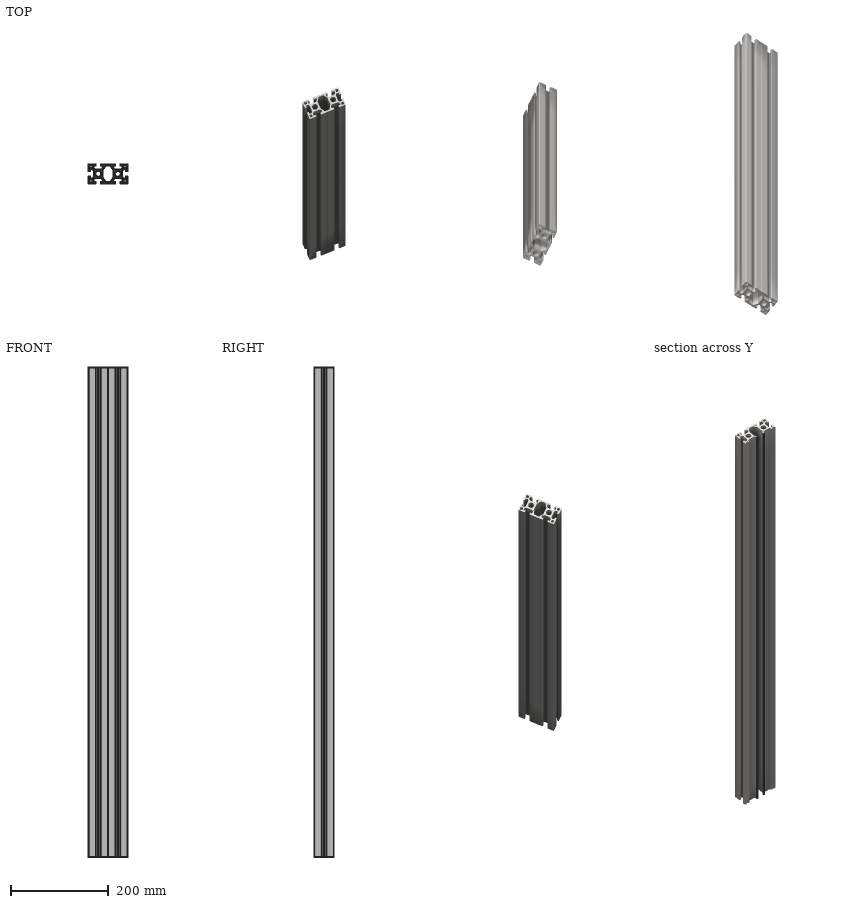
import cadquery as cq
import math

LENGTH = 1000.0
MODULE = 40.0
WIDTH = 2 * MODULE
DEPTH = MODULE
CORNER_RADIUS = 1.4

SLOT_OPENING = 10.0
LIP_RADIUS = 1.2
LIP_THICKNESS = 4.0
SLOT_INNER_WIDTH = 19.0
SLOT_SHOULDER_DEPTH = 8.5
SLOT_DEPTH = 11.0
SLOT_FLOOR_WIDTH = 13.0

GROOVE_WIDTH = 1.6
FLOOR_GROOVE_DEPTH = 0.3
FACE_GROOVE_DEPTH = 0.8

BORE_DIAMETER = 11.7

CORNER_HOLLOW_SIZE = 5.3
CORNER_HOLLOW_INSET = 5.2

CAVITY_WIDTH = 21.6
CAVITY_DEPTH = 33.0
CAVITY_END_WIDTH = 10.0
CAVITY_SIDE_LENGTH = 15.6

MODULE_CENTERS = (-MODULE / 2, MODULE / 2)


def prism(points):
    """Full-length prism over a closed polygon."""
    return cq.Workplane("XY").polyline(points).close().extrude(LENGTH)


def mirrored(half):
    """Complete a half outline (X >= 0) with its mirror image about the Y axis."""
    return half + [(-x, y) for x, y in reversed(half) if x > 0]


def on_face(cutter, x, y, angle):
    """Turn a cutter made for the +Y face about Z and move it to another face."""
    return cutter.rotate((0, 0, 0), (0, 0, 1), angle).translate((x, y, 0))


def body():
    block = cq.Workplane("XY").rect(WIDTH, DEPTH).extrude(LENGTH)
    return block.edges("|Z").fillet(CORNER_RADIUS)


def slot_mouth():
    """Slot entrance flaring out to the face (Y = 0) over the rounded lips."""
    half = SLOT_OPENING / 2
    arc_drop = LIP_RADIUS * (1 - math.sqrt(0.5))
    return (
        cq.Workplane("XY")
        .moveTo(-half - LIP_RADIUS, 0)
        .threePointArc((-half - arc_drop, -arc_drop), (-half, -LIP_RADIUS))
        .lineTo(-half, -LIP_THICKNESS)
        .lineTo(half, -LIP_THICKNESS)
        .lineTo(half, -LIP_RADIUS)
        .threePointArc((half + arc_drop, -arc_drop), (half + LIP_RADIUS, 0))
        .close()
        .extrude(LENGTH)
    )


def slot_chamber():
    """Wide part of the slot behind the lips, tapering to a grooved floor."""
    return prism(mirrored([
        (SLOT_INNER_WIDTH / 2, -LIP_THICKNESS),
        (SLOT_INNER_WIDTH / 2, -SLOT_SHOULDER_DEPTH),
        (SLOT_FLOOR_WIDTH / 2, -SLOT_DEPTH),
        (GROOVE_WIDTH / 2, -SLOT_DEPTH),
        (0, -SLOT_DEPTH - FLOOR_GROOVE_DEPTH),
    ]))


def cut_slots(part):
    slot = slot_mouth().union(slot_chamber())
    for x in MODULE_CENTERS:
        part = part.cut(on_face(slot, x, DEPTH / 2, 0))
        part = part.cut(on_face(slot, x, -DEPTH / 2, 180))
    part = part.cut(on_face(slot, -WIDTH / 2, 0, 90))
    return part.cut(on_face(slot, WIDTH / 2, 0, -90))


def cut_face_grooves(part):
    groove = prism(mirrored([(GROOVE_WIDTH / 2, 0), (0, -FACE_GROOVE_DEPTH)]))
    part = part.cut(on_face(groove, 0, DEPTH / 2, 0))
    return part.cut(on_face(groove, 0, -DEPTH / 2, 180))


def cut_bores(part):
    centers = [(x, 0) for x in MODULE_CENTERS]
    bores = cq.Workplane("XY").pushPoints(centers).circle(BORE_DIAMETER / 2).extrude(LENGTH)
    return part.cut(bores)


def cut_corner_hollows(part):
    x = WIDTH / 2 - CORNER_HOLLOW_INSET
    y = DEPTH / 2 - CORNER_HOLLOW_INSET
    centers = [(-x, -y), (x, -y), (x, y), (-x, y)]
    hollows = (
        cq.Workplane("XY")
        .pushPoints(centers)
        .rect(CORNER_HOLLOW_SIZE, CORNER_HOLLOW_SIZE)
        .extrude(LENGTH)
    )
    return part.cut(hollows)


def cut_cavity(part):
    return part.cut(prism(mirrored([
        (CAVITY_END_WIDTH / 2, CAVITY_DEPTH / 2),
        (CAVITY_WIDTH / 2, CAVITY_SIDE_LENGTH / 2),
        (CAVITY_WIDTH / 2, -CAVITY_SIDE_LENGTH / 2),
        (CAVITY_END_WIDTH / 2, -CAVITY_DEPTH / 2),
    ])))


result = body()
result = cut_slots(result)
result = cut_face_grooves(result)
result = cut_bores(result)
result = cut_corner_hollows(result)
result = cut_cavity(result)